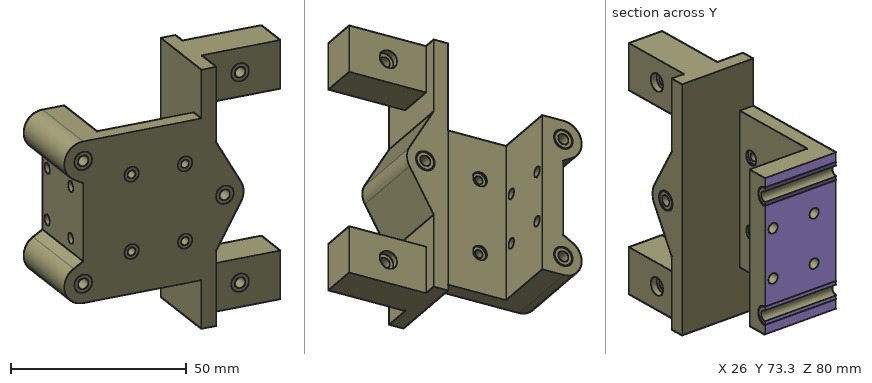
import cadquery as cq
import math


WIDTH = 26.0
DEPTH = 73.3
HEIGHT = 80.0
LEFT = -WIDTH / 2
RIGHT = WIDTH / 2

PLATE_THICKNESS = 4.7

ARM_LENGTH = 25.0
ARM_HEIGHT = 15.0
ARM_WIDTH = 12.2
ARM_LEFT = LEFT + 4.5
ARM_RIGHT = ARM_LEFT + ARM_WIDTH
ARM_Z = (HEIGHT - ARM_HEIGHT) / 2
ARM_HOLE_Y = PLATE_THICKNESS + 12.2

PIVOT_RADIUS = 6.0
FLANK_ANGLE = math.radians(30)
FLANK_SIN = math.sin(FLANK_ANGLE)
FLANK_COS = math.cos(FLANK_ANGLE)
RIDGE_PIVOT_Y = PLATE_THICKNESS + 2.7

WEB_HEIGHT = HEIGHT - 2 * ARM_HEIGHT
WEB_THICKNESS = 5.0
WEB_LEFT = RIGHT - WEB_THICKNESS
WEB_HOLE_BACK_Y = -5.2
WEB_HOLE_PITCH_Y = 17.0
WEB_HOLE_PITCH_Z = 23.8

FOOT_THICKNESS = 6.9
FOOT_FRONT_Y = PLATE_THICKNESS + ARM_LENGTH + PIVOT_RADIUS - DEPTH
FOOT_BACK_Y = FOOT_FRONT_Y + FOOT_THICKNESS
LUG_Z = WEB_HEIGHT / 2 - PIVOT_RADIUS
FOOT_HOLE_DIAMETER = 3.2
FOOT_HOLE_LEFT_X = LEFT + 3.0
FOOT_HOLE_PITCH_X = 15.0
FOOT_HOLE_PITCH_Z = 16.0

LARGE_OUTER = 5.6
LARGE_BORE = 3.3
SMALL_OUTER = 4.6
SMALL_BORE = 2.5
ARM_RECESS = 2.2
WEB_RECESS = 0.7

RELIEF_DIAMETER = 6.1
RELIEF_DEPTH = 0.1

ARM_HOLES = [(ARM_HOLE_Y, side * ARM_Z) for side in (1, -1)]
WEB_HOLES = [
    (WEB_HOLE_BACK_Y - column * WEB_HOLE_PITCH_Y, side * WEB_HOLE_PITCH_Z / 2)
    for column in (0, 1)
    for side in (1, -1)
]
PIVOTS = [(RIDGE_PIVOT_Y, 0), (FOOT_FRONT_Y, LUG_Z), (FOOT_FRONT_Y, -LUG_Z)]


def block(x_range, y_range, z_range):
    """Box between the given limits."""
    (x0, x1), (y0, y1), (z0, z1) = x_range, y_range, z_range
    return cq.Workplane("XY").box(x1 - x0, y1 - y0, z1 - z0, centered=False).translate((x0, y0, z0))


def rods(x_start, x_end, centres, diameter):
    """Cylinders along X at the given (y, z) centres."""
    plane = cq.Workplane("YZ", origin=(x_start, 0, 0))
    return plane.pushPoints(centres).circle(diameter / 2).extrude(x_end - x_start)


def bushings(x_start, x_end, centres, outer, bore):
    """A separate tube along X at each centre."""
    return [
        rods(x_start, x_end, [centre], outer).cut(rods(x_start, x_end, [centre], bore)).solids().val()
        for centre in centres
    ]


def make_arm(side):
    centre_z = side * ARM_Z
    return block(
        (ARM_LEFT, ARM_RIGHT),
        (PLATE_THICKNESS, PLATE_THICKNESS + ARM_LENGTH),
        (centre_z - ARM_HEIGHT / 2, centre_z + ARM_HEIGHT / 2),
    )


def make_ridge():
    """Triangular ridge behind the plate with a rounded tip."""
    sharp_tip_y = RIDGE_PIVOT_Y + PIVOT_RADIUS / FLANK_COS
    base_z = (sharp_tip_y - PLATE_THICKNESS) / math.tan(FLANK_ANGLE)
    tangent_y = RIDGE_PIVOT_Y + PIVOT_RADIUS * FLANK_COS
    tangent_z = PIVOT_RADIUS * FLANK_SIN
    return (
        cq.Workplane("YZ", origin=(LEFT, 0, 0))
        .moveTo(PLATE_THICKNESS, -base_z)
        .lineTo(tangent_y, -tangent_z)
        .threePointArc((RIDGE_PIVOT_Y + PIVOT_RADIUS, 0), (tangent_y, tangent_z))
        .lineTo(PLATE_THICKNESS, base_z)
        .close()
        .extrude(WIDTH)
    )


def make_foot():
    """Foot whose front face steps out into two lugs."""
    top_z = WEB_HEIGHT / 2
    nose_y = FOOT_FRONT_Y - PIVOT_RADIUS
    tangent_y = FOOT_FRONT_Y - PIVOT_RADIUS * FLANK_SIN
    tangent_z = LUG_Z - PIVOT_RADIUS * FLANK_COS
    corner_z = LUG_Z - PIVOT_RADIUS / FLANK_COS
    foot = (
        cq.Workplane("YZ", origin=(LEFT, 0, 0))
        .moveTo(FOOT_BACK_Y, top_z)
        .lineTo(FOOT_FRONT_Y, top_z)
        .threePointArc((nose_y, LUG_Z), (tangent_y, tangent_z))
        .lineTo(FOOT_FRONT_Y, corner_z)
        .lineTo(FOOT_FRONT_Y, -corner_z)
        .lineTo(tangent_y, -tangent_z)
        .threePointArc((nose_y, -LUG_Z), (FOOT_FRONT_Y, -top_z))
        .lineTo(FOOT_BACK_Y, -top_z)
        .close()
        .extrude(WIDTH)
    )
    hole_centre_x = FOOT_HOLE_LEFT_X + FOOT_HOLE_PITCH_X / 2
    holes = (
        cq.Workplane("XZ", origin=(hole_centre_x, FOOT_BACK_Y, 0))
        .rarray(FOOT_HOLE_PITCH_X, FOOT_HOLE_PITCH_Z, 2, 2)
        .circle(FOOT_HOLE_DIAMETER / 2)
        .extrude(FOOT_THICKNESS)
    )
    return foot.cut(holes)


def make_bracket():
    plate = block((LEFT, RIGHT), (0, PLATE_THICKNESS), (-HEIGHT / 2, HEIGHT / 2))
    web = block((WEB_LEFT, RIGHT), (FOOT_BACK_Y, 0), (-WEB_HEIGHT / 2, WEB_HEIGHT / 2))
    bracket = plate.union(web).union(make_ridge()).union(make_foot())
    for side in (1, -1):
        bracket = bracket.union(make_arm(side))
    return (
        bracket
        .cut(rods(ARM_LEFT, ARM_RIGHT, ARM_HOLES, LARGE_OUTER))
        .cut(rods(WEB_LEFT, RIGHT, WEB_HOLES, SMALL_OUTER))
        .cut(rods(LEFT, RIGHT, PIVOTS, LARGE_OUTER))
        .cut(rods(LEFT, LEFT + RELIEF_DEPTH, PIVOTS, RELIEF_DIAMETER))
        .solids()
    )


bracket = make_bracket()
arm_bushings = bushings(ARM_LEFT + ARM_RECESS, ARM_RIGHT, ARM_HOLES, LARGE_OUTER, LARGE_BORE)
web_bushings = bushings(WEB_LEFT + WEB_RECESS, RIGHT, WEB_HOLES, SMALL_OUTER, SMALL_BORE)
pivot_bushings = bushings(LEFT, RIGHT, PIVOTS, LARGE_OUTER, LARGE_BORE)

result = cq.Compound.makeCompound([bracket.val(), *arm_bushings, *web_bushings, *pivot_bushings])